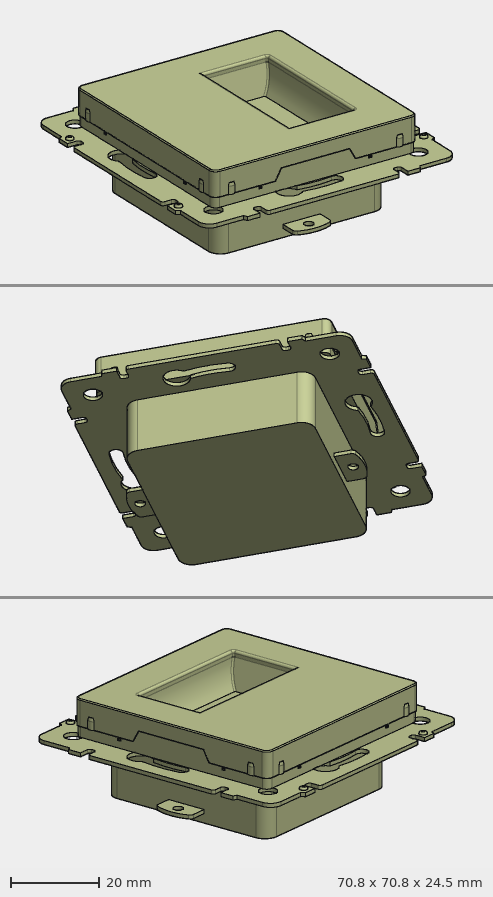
import cadquery as cq
import math

PLATE_SIZE = 68.8
PLATE_SPAN = 70.8
PLATE_THICK = 1.0
PLATE_CORNER_RADIUS = 3.0
TAB_BASE_HALF = 24.15
TAB_TIP_HALF = 23.65
NOTCH_CENTER = 19.2
NOTCH_WIDTH = 2.05
NOTCH_DEPTH = 3.25
NOTCH_ROUND = 0.7
CORNER_HOLE_OFFSET = 28.05
CORNER_HOLE_DIAMETER = 4.4
DIMPLE_X = 22.0
DIMPLE_Y = 33.55
DIMPLE_RADIUS = 1.0
DIMPLE_HEIGHT = 0.6
DIMPLE_ROUND = 0.5
DIMPLE_HOLE_DIAMETER = 0.7

SLOT_RADIUS = 29.95
SLOT_WIDTH = 3.25
SLOT_NARROW_ANGLE = 8.6
SLOT_WIDE_ANGLE = 15.4
SLOT_HEAD_DIAMETER = 6.2

COVER_SIZE = 55.9
COVER_TOP = 10.4
COVER_BOTTOM = 3.7
COVER_CORNER_RADIUS = 1.8
COVER_EDGE_CHAMFER = 0.3
COLLAR_STEP = 0.3
SIDE_NOTCH_BASE = 21.95
SIDE_NOTCH_TIP = 18.7
SIDE_NOTCH_HEIGHT = 2.9

RIB_OFFSET = 23.0
RIB_WIDTH = 1.85
RIB_BULGE = 0.3
RIB_HEIGHT = 3.0
RIB_TAPER_HEIGHT = 0.85
RIB_TAPER = 0.15
NUB_OFFSET_X = 16.15
NUB_OFFSET_Y = 15.0
NUB_WIDTH = 0.8
NUB_HEIGHT = 0.4
NUB_TOP = 3.3
NUB_BULGE = 0.2

WINDOW_WIDTH = 35.1
WINDOW_BACK = 17.55
WINDOW_FRONT = -0.15
WINDOW_CORNER_RADIUS = 0.4
WINDOW_RIM_RADIUS = 0.65
WINDOW_STRAIGHT_DEPTH = 1.55
WINDOW_FLOOR = 1.55
WINDOW_LEAN = 2.1

BOX_WIDTH = 44.45
BOX_LENGTH = 46.6
BOX_DEPTH = 14.1
BOX_CORNER_RADIUS = 3.3
LUG_WIDTH = 10.2
LUG_END_RADIUS = 12.05
LUG_CORNER_RADIUS = 1.0
LUG_TOP = -10.75
LUG_HOLE_OFFSET = 25.2
LUG_HOLE_DIAMETER = 2.4


def rounded_block(width, length, bottom, top, radius):
    block = cq.Workplane("XY").workplane(offset=bottom).rect(width, length).extrude(top - bottom)
    return block.edges("|Z").fillet(radius)


def turned(shape, angle):
    return shape.rotate((0, 0, 0), (0, 0, 1), angle)


def edge_tab():
    """Slightly raised middle stretch of the +Y plate edge."""
    base = PLATE_SIZE / 2
    tip = PLATE_SPAN / 2
    return (
        cq.Workplane("XY")
        .polyline([
            (-TAB_BASE_HALF, 0),
            (-TAB_BASE_HALF, base),
            (-TAB_TIP_HALF, tip),
            (TAB_TIP_HALF, tip),
            (TAB_BASE_HALF, base),
            (TAB_BASE_HALF, 0),
        ])
        .close()
        .extrude(PLATE_THICK)
    )


def edge_notch(side):
    """Notch in the +Y edge; its inner mouth corner and its bottom are rounded."""
    tip = PLATE_SPAN / 2
    inner = NOTCH_CENTER - NOTCH_WIDTH / 2
    outer = NOTCH_CENTER + NOTCH_WIDTH / 2
    bottom = tip - NOTCH_DEPTH
    profile = (
        cq.Workplane("XY")
        .moveTo(side * outer, tip)
        .lineTo(side * outer, bottom)
        .lineTo(side * inner, bottom)
        .lineTo(side * inner, tip - NOTCH_ROUND)
        .radiusArc((side * (inner - NOTCH_ROUND), tip), -side * NOTCH_ROUND)
        .close()
        .extrude(PLATE_THICK)
    )
    return profile.edges("|Z and <Y").fillet(NOTCH_ROUND)


def polar(angle, radius):
    """Point at a clockwise angle from +Y."""
    return radius * math.sin(math.radians(angle)), radius * math.cos(math.radians(angle))


def screw_slot():
    """Arc slot beside the +Y edge, ending in a round screw-head opening."""
    inner = SLOT_RADIUS - SLOT_WIDTH / 2
    outer = SLOT_RADIUS + SLOT_WIDTH / 2
    middle = (SLOT_WIDE_ANGLE - SLOT_NARROW_ANGLE) / 2
    band = (
        cq.Workplane("XY")
        .moveTo(*polar(-SLOT_NARROW_ANGLE, inner))
        .threePointArc(polar(middle, inner), polar(SLOT_WIDE_ANGLE, inner))
        .lineTo(*polar(SLOT_WIDE_ANGLE, outer))
        .threePointArc(polar(middle, outer), polar(-SLOT_NARROW_ANGLE, outer))
        .close()
        .extrude(PLATE_THICK)
    )
    narrow_end = (
        cq.Workplane("XY")
        .center(*polar(-SLOT_NARROW_ANGLE, SLOT_RADIUS))
        .circle(SLOT_WIDTH / 2)
        .extrude(PLATE_THICK)
    )
    head_opening = (
        cq.Workplane("XY")
        .center(*polar(SLOT_WIDE_ANGLE, SLOT_RADIUS))
        .circle(SLOT_HEAD_DIAMETER / 2)
        .extrude(PLATE_THICK)
    )
    return band.union(narrow_end).union(head_opening)


def dimple():
    """Round-shouldered bump on the plate with a small blind hole in its top."""
    bump = cq.Workplane("XY").circle(DIMPLE_RADIUS).extrude(PLATE_THICK + DIMPLE_HEIGHT)
    bump = bump.faces(">Z").edges().fillet(DIMPLE_ROUND)
    return bump.faces(">Z").workplane().hole(DIMPLE_HOLE_DIAMETER, DIMPLE_HEIGHT)


def mounting_plate():
    plate = rounded_block(PLATE_SIZE, PLATE_SIZE, 0, PLATE_THICK, PLATE_CORNER_RADIUS)
    for angle in (0, 90, 180, 270):
        plate = plate.union(turned(edge_tab(), angle))
    for angle in (0, 90, 180, 270):
        plate = plate.cut(turned(edge_notch(-1), angle))
        plate = plate.cut(turned(edge_notch(1), angle))
        plate = plate.cut(turned(screw_slot(), angle))
    holes = (
        cq.Workplane("XY")
        .rect(2 * CORNER_HOLE_OFFSET, 2 * CORNER_HOLE_OFFSET, forConstruction=True)
        .vertices()
        .circle(CORNER_HOLE_DIAMETER / 2)
        .extrude(PLATE_THICK)
    )
    plate = plate.cut(holes)
    for x in (-DIMPLE_X, DIMPLE_X):
        for y in (-DIMPLE_Y, DIMPLE_Y):
            plate = plate.union(dimple().translate((x, y, 0)))
    return plate


def snap_rib():
    """Rounded upright rib on the +Y cover wall with a tapered upper end."""
    radius = ((RIB_WIDTH / 2) ** 2 + RIB_BULGE**2) / (2 * RIB_BULGE)
    straight = RIB_HEIGHT - RIB_TAPER_HEIGHT
    rib = (
        cq.Workplane("XZ")
        .polyline([
            (0, 0),
            (radius, 0),
            (radius, straight),
            (radius - RIB_TAPER, RIB_HEIGHT),
            (0, RIB_HEIGHT),
        ])
        .close()
        .revolve(360, (0, 0, 0), (0, 1, 0))
    )
    return rib.translate((0, COVER_SIZE / 2 + RIB_BULGE - radius, COVER_BOTTOM))


def nub():
    """Small block on the +Y collar wall."""
    wall = COVER_SIZE / 2 - COLLAR_STEP
    block = cq.Workplane("XY").box(NUB_WIDTH, 2 * NUB_BULGE, NUB_HEIGHT)
    return block.translate((0, wall, NUB_TOP - NUB_HEIGHT / 2))


def side_notches():
    """Trapezoid cut-outs in the lower rim of the -X and +X cover walls."""
    shape = (
        cq.Workplane("YZ")
        .polyline([
            (-SIDE_NOTCH_BASE / 2, COVER_BOTTOM),
            (-SIDE_NOTCH_TIP / 2, COVER_BOTTOM + SIDE_NOTCH_HEIGHT),
            (SIDE_NOTCH_TIP / 2, COVER_BOTTOM + SIDE_NOTCH_HEIGHT),
            (SIDE_NOTCH_BASE / 2, COVER_BOTTOM),
        ])
        .close()
        .extrude(COVER_SIZE / 2, both=True)
    )
    collar_size = COVER_SIZE - 2 * COLLAR_STEP
    return shape.cut(cq.Workplane("XY").box(collar_size, collar_size, 2 * COVER_TOP))


def window_recess():
    """Straight mouth above a pocket whose sides lean inward; its back wall is concave."""
    half_width = WINDOW_WIDTH / 2
    lean_top = COVER_TOP - WINDOW_STRAIGHT_DEPTH
    lean_height = lean_top - WINDOW_FLOOR
    back_radius = (lean_height**2 + WINDOW_LEAN**2) / (2 * WINDOW_LEAN)
    mouth = (
        cq.Workplane("XY")
        .workplane(offset=lean_top)
        .center(0, (WINDOW_BACK + WINDOW_FRONT) / 2)
        .rect(WINDOW_WIDTH, WINDOW_BACK - WINDOW_FRONT)
        .extrude(WINDOW_STRAIGHT_DEPTH)
        .edges("|Z and >Y")
        .fillet(WINDOW_CORNER_RADIUS)
    )
    length_profile = (
        cq.Workplane("YZ")
        .moveTo(WINDOW_FRONT, WINDOW_FLOOR)
        .lineTo(WINDOW_FRONT, lean_top)
        .lineTo(WINDOW_BACK, lean_top)
        .radiusArc((WINDOW_BACK - WINDOW_LEAN, WINDOW_FLOOR), back_radius)
        .close()
        .extrude(half_width, both=True)
    )
    width_profile = (
        cq.Workplane("XZ")
        .polyline([
            (-half_width, lean_top),
            (half_width, lean_top),
            (half_width - WINDOW_LEAN, WINDOW_FLOOR),
            (-half_width + WINDOW_LEAN, WINDOW_FLOOR),
        ])
        .close()
        .extrude(COVER_SIZE / 2, both=True)
    )
    pocket = length_profile.intersect(width_profile).edges("%ELLIPSE").fillet(WINDOW_CORNER_RADIUS)
    return mouth.union(pocket)


def window_mouth():
    """Selector for the upper rim of the window recess."""
    reach = COVER_SIZE / 2 - COVER_CORNER_RADIUS
    return cq.selectors.BoxSelector(
        (-reach, -reach, COVER_TOP - COVER_EDGE_CHAMFER),
        (reach, reach, COVER_TOP + COVER_EDGE_CHAMFER),
    )


def cover():
    body = rounded_block(COVER_SIZE, COVER_SIZE, COVER_BOTTOM, COVER_TOP, COVER_CORNER_RADIUS)
    body = body.faces(">Z").edges().chamfer(COVER_EDGE_CHAMFER)
    body = body.cut(side_notches())
    collar_size = COVER_SIZE - 2 * COLLAR_STEP
    collar_radius = COVER_CORNER_RADIUS - COLLAR_STEP
    body = body.union(rounded_block(collar_size, collar_size, PLATE_THICK, COVER_BOTTOM, collar_radius))
    for angle in (0, 90, 180, 270):
        nub_offset = NUB_OFFSET_X if angle in (0, 180) else NUB_OFFSET_Y
        for side in (-1, 1):
            body = body.union(turned(snap_rib().translate((side * RIB_OFFSET, 0, 0)), angle))
            body = body.union(turned(nub().translate((side * nub_offset, 0, 0)), angle))
    body = body.cut(window_recess())
    return body.edges(window_mouth()).fillet(WINDOW_RIM_RADIUS)


def back_box():
    box = rounded_block(BOX_WIDTH, BOX_LENGTH, -BOX_DEPTH, 0, BOX_CORNER_RADIUS)
    lug_bottom = LUG_TOP - PLATE_THICK
    half_width = LUG_WIDTH / 2
    tip = COVER_SIZE / 2
    shoulder = tip - LUG_END_RADIUS + math.sqrt(LUG_END_RADIUS**2 - half_width**2)
    lugs = (
        cq.Workplane("XY")
        .workplane(offset=lug_bottom)
        .moveTo(-shoulder, half_width)
        .lineTo(shoulder, half_width)
        .threePointArc((tip, 0), (shoulder, -half_width))
        .lineTo(-shoulder, -half_width)
        .threePointArc((-tip, 0), (-shoulder, half_width))
        .close()
        .extrude(PLATE_THICK)
        .edges("|Z")
        .fillet(LUG_CORNER_RADIUS)
    )
    holes = (
        cq.Workplane("XY")
        .workplane(offset=lug_bottom)
        .pushPoints([(-LUG_HOLE_OFFSET, 0), (LUG_HOLE_OFFSET, 0)])
        .circle(LUG_HOLE_DIAMETER / 2)
        .extrude(PLATE_THICK)
    )
    return box.union(lugs).cut(holes)


result = mounting_plate().union(cover()).union(back_box())